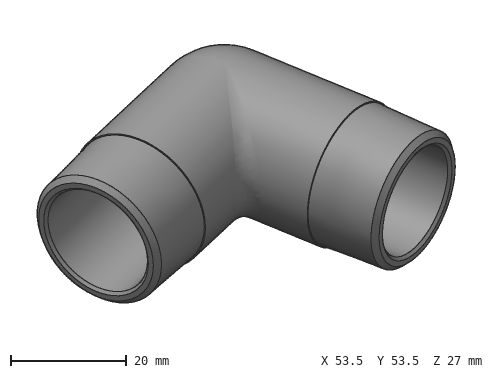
import cadquery as cq

overall_length = 53.5
body_diameter = 27.0
bore_diameter = 20.6
spigot_length = 13.8
spigot_root_radius = 13.25
spigot_tip_radius = 12.9
tip_chamfer = 1.0
bore_chamfer = 0.55
inner_corner_radius = 3.0

body_radius = body_diameter / 2
bore_radius = bore_diameter / 2
arm_length = overall_length - body_radius
shoulder = arm_length - spigot_length


def solid_arm(profile):
    """Revolve an (axial, radial) half profile about the X axis."""
    return cq.Workplane("XY").polyline(profile).close().revolve(360, (0, 0, 0), (1, 0, 0))


def two_arms(arm):
    """Join an arm along +X with its copy turned to -Y."""
    return arm.union(arm.rotate((0, 0, 0), (0, 0, 1), -90))


def corner_body():
    """Two equal tubes meeting at a ball corner, with the inside seam filleted."""
    tube = cq.Workplane("YZ").circle(body_radius).extrude(shoulder)
    tubes = two_arms(tube)
    inner_seam = cq.selectors.BoxSelector((0, 0, -body_radius), (body_radius, -body_radius, body_radius))
    seamed = tubes.edges(inner_seam).fillet(inner_corner_radius)
    return seamed.union(cq.Workplane("XY").sphere(body_radius))


def spigot():
    """Tapered end of the arm with a chamfered tip."""
    chamfer_start = arm_length - tip_chamfer
    return solid_arm([
        (shoulder, 0),
        (shoulder, spigot_root_radius),
        (chamfer_start, spigot_tip_radius),
        (arm_length, spigot_tip_radius - tip_chamfer),
        (arm_length, 0),
    ])


def bore():
    """Straight bore along the arm, flared at the mouth."""
    return solid_arm([
        (0, 0),
        (0, bore_radius),
        (arm_length - bore_chamfer, bore_radius),
        (arm_length, bore_radius + bore_chamfer),
        (arm_length, 0),
    ])


passage = two_arms(bore()).union(cq.Workplane("XY").sphere(bore_radius))
result = corner_body().union(two_arms(spigot())).cut(passage)